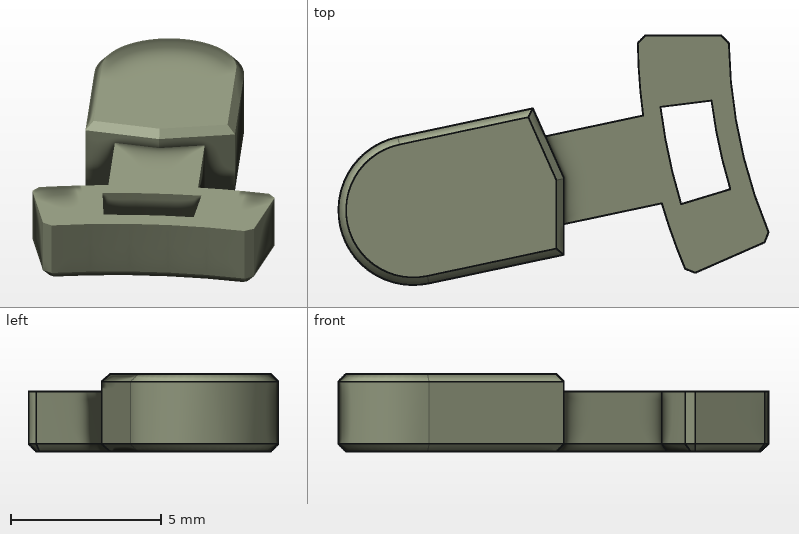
import cadquery as cq
import math

head_outer_radius = 19.95
head_inner_radius = 16.9
head_angle = 23.7
head_corner = 0.26

window_outer_radius = 19.33
window_inner_radius = 17.62
window_angle = 9.8

arm_width = 3.0
body_height = 2.01

pad_centre_distance = 28.03
pad_tip_distance = 22.9
pad_radius = 2.5
pad_height = 2.6

edge_chamfer = 0.26
tilt = 12.0


def polar(radius, angle):
    """Point at an angle measured from the -X direction, positive towards -Y."""
    a = math.radians(angle)
    return (-radius * math.cos(a), -radius * math.sin(a))


def ring_sector(outer_radius, inner_radius, span, height):
    """Ring piece centred on the -X axis, with radial ends."""
    half = span / 2
    return (
        cq.Workplane("XY")
        .moveTo(*polar(outer_radius, -half))
        .threePointArc(polar(outer_radius, 0), polar(outer_radius, half))
        .lineTo(*polar(inner_radius, half))
        .threePointArc(polar(inner_radius, 0), polar(inner_radius, -half))
        .close()
        .extrude(height)
    )


def make_head():
    head = ring_sector(head_outer_radius, head_inner_radius, head_angle, body_height)
    head = head.edges("|Z").chamfer(head_corner)
    return head.rotate((0, 0, 0), (0, 0, 1), head_angle / 2 - tilt)


def make_arm():
    start = -pad_centre_distance
    end = -(head_outer_radius + window_outer_radius) / 2
    return (
        cq.Workplane("XY")
        .center((start + end) / 2, 0)
        .rect(end - start, arm_width)
        .extrude(body_height)
    )


def make_pad():
    """Round-ended pad whose other end is a shallow point facing the head."""
    shoulder_x = -pad_tip_distance - pad_radius * math.tan(math.radians(tilt))
    return (
        cq.Workplane("XY")
        .moveTo(-pad_centre_distance, pad_radius)
        .threePointArc((-pad_centre_distance - pad_radius, 0), (-pad_centre_distance, -pad_radius))
        .lineTo(shoulder_x, -pad_radius)
        .lineTo(-pad_tip_distance, 0)
        .lineTo(shoulder_x, pad_radius)
        .close()
        .extrude(pad_height)
        .faces(">Z")
        .chamfer(edge_chamfer)
    )


body = make_head().union(make_arm()).union(make_pad())
body = body.faces("<Z").chamfer(edge_chamfer)
window = ring_sector(window_outer_radius, window_inner_radius, window_angle, body_height)

result = body.cut(window).rotate((0, 0, 0), (0, 0, 1), tilt)